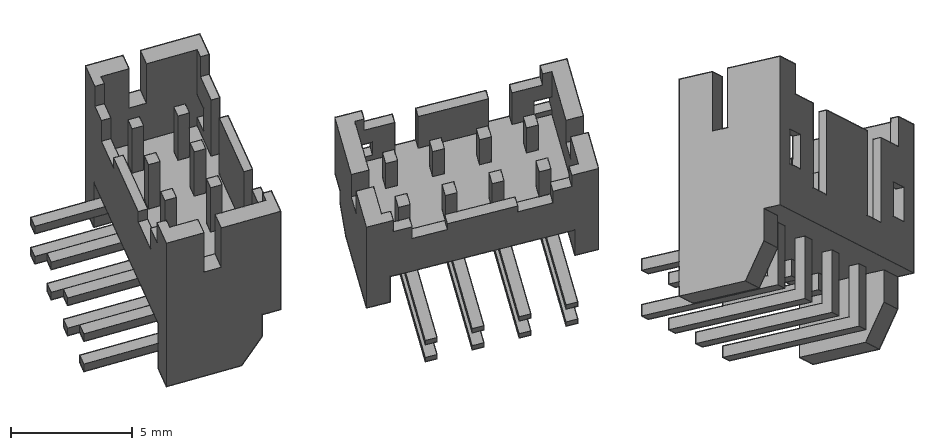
import cadquery as cq


width = 9.9
depth = 5.0
height = 9.5
shroud_height = 6.51
shroud_bottom = height - shroud_height

side_wall = 0.75
front_wall = 0.42
back_wall = 0.39
floor_thickness = 1.485
cavity_floor = shroud_bottom + floor_thickness

corner_length = 1.15
wall_drop = 1.32

tab_width = 3.0
front_tab_drop = 2.0
front_slot_offset = 1.95
front_slot_drop = 2.68
back_slot_offset = 2.46

side_slot_start = 1.64
side_slot_width = 0.75
side_slot_drop = 2.6

window_width = 0.75
window_height = 1.5
window_sill = 0.54

leg_thickness = 1.02
leg_setback = 0.8
leg_chamfer_run = 0.91
leg_chamfer_rise = 1.57

pin_columns = 4
pin_rows = 2
pitch = 2.0
pin_size = 0.5
pin_drop = 2.1
pin_reach = 3.0
front_row_center = 1.5
lower_row_center = 0.5
pin_top = height - pin_drop


def block(x_start, x_end, y_start, y_end, z_start, z_end):
    """Axis-aligned box between opposite corners."""
    size = (x_end - x_start, y_end - y_start, z_end - z_start)
    return cq.Workplane("XY").box(*size, centered=False).translate((x_start, y_start, z_start))


def make_shroud():
    half = width / 2
    cavity_half = half - side_wall
    cavity_front = front_wall
    cavity_back = depth - back_wall
    shroud = block(-half, half, 0, depth, shroud_bottom, height)
    shroud = shroud.cut(block(-cavity_half, cavity_half, cavity_front, cavity_back, cavity_floor, height))

    opening_half = half - corner_length
    tab_half = tab_width / 2
    for y_start, y_end in ((0, cavity_front), (cavity_back, depth)):
        shroud = shroud.cut(block(-opening_half, opening_half, y_start, y_end, height - wall_drop, height))
    shroud = shroud.cut(block(-tab_half, tab_half, 0, cavity_front, height - front_tab_drop, height))

    front_slot_outer = half - front_slot_offset
    back_slot_outer = half - back_slot_offset
    front_slot = block(tab_half, front_slot_outer, 0, cavity_front, height - front_slot_drop, height)
    back_slot = block(tab_half, back_slot_outer, cavity_back, depth, cavity_floor, height)
    for slot in (front_slot, back_slot):
        shroud = shroud.cut(slot).cut(slot.mirror("YZ"))

    window_bottom = cavity_floor + window_sill
    window_top = window_bottom + window_height
    window = block(cavity_half - window_width, cavity_half, cavity_back, depth, window_bottom, window_top)
    shroud = shroud.cut(window).cut(window.mirror("YZ"))

    side_slot_end = side_slot_start + side_slot_width
    side_slot = block(cavity_half, half, side_slot_start, side_slot_end, height - side_slot_drop, height)
    return shroud.cut(side_slot).cut(side_slot.mirror("YZ"))


def make_leg():
    """Right-hand leg, with its lower back corner bevelled."""
    leg_back = depth - leg_setback
    outline = [
        (0, 0),
        (leg_back - leg_chamfer_run, 0),
        (leg_back, leg_chamfer_rise),
        (leg_back, shroud_bottom),
        (0, shroud_bottom),
    ]
    leg = cq.Workplane("YZ").polyline(outline).close().extrude(leg_thickness)
    return leg.translate((width / 2 - leg_thickness, 0, 0))


def make_pin(x_center, row):
    """L-shaped pin: upright through the shroud floor, then forward past the front face."""
    half_pin = pin_size / 2
    y_center = front_row_center + row * pitch
    z_center = lower_row_center + (pin_rows - 1 - row) * pitch
    x_range = (x_center - half_pin, x_center + half_pin)
    y_back = y_center + half_pin
    z_bottom = z_center - half_pin
    upright = block(*x_range, y_center - half_pin, y_back, z_bottom, pin_top)
    tail = block(*x_range, -pin_reach, y_back, z_bottom, z_center + half_pin)
    return upright.union(tail)


leg = make_leg()
result = make_shroud().union(leg).union(leg.mirror("YZ"))
for column in range(pin_columns):
    x_center = (column - (pin_columns - 1) / 2) * pitch
    for row in range(pin_rows):
        result = result.union(make_pin(x_center, row))